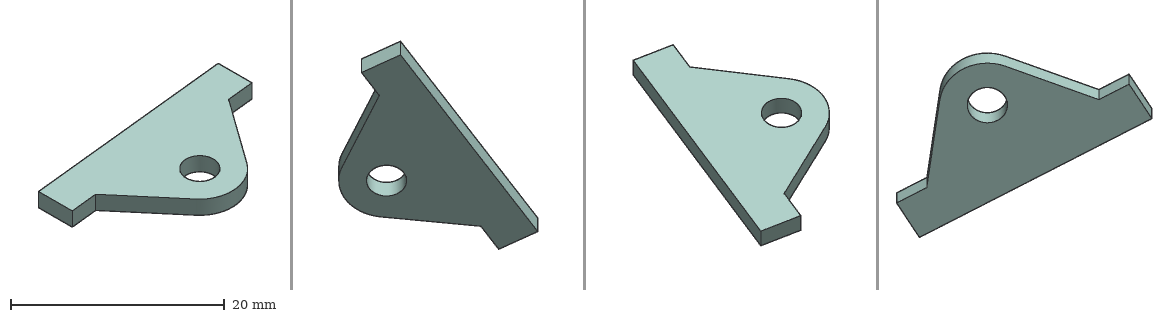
import cadquery as cq
import math

length = 25.2
depth = 13.48
thickness = 2.0

strip_width = 4.25
lug_base_half_width = 9.32
nose_radius = 4.49
hole_diameter = 3.75

hole_x = depth - nose_radius

base_dx = strip_width - hole_x
base_distance = math.hypot(base_dx, lug_base_half_width)
base_angle = math.atan2(lug_base_half_width, base_dx)
tangent_angle = base_angle - math.acos(nose_radius / base_distance)
tangent_x = hole_x + nose_radius * math.cos(tangent_angle)
tangent_y = nose_radius * math.sin(tangent_angle)


def make_strip():
    return cq.Workplane("XY").box(strip_width, length, thickness, centered=(False, True, False))


def make_lug():
    return (
        cq.Workplane("XY")
        .moveTo(0, -lug_base_half_width)
        .lineTo(strip_width, -lug_base_half_width)
        .lineTo(tangent_x, -tangent_y)
        .threePointArc((depth, 0), (tangent_x, tangent_y))
        .lineTo(strip_width, lug_base_half_width)
        .lineTo(0, lug_base_half_width)
        .close()
        .extrude(thickness)
    )


def make_hole():
    return cq.Workplane("XY").center(hole_x, 0).circle(hole_diameter / 2).extrude(thickness)


result = make_strip().union(make_lug()).cut(make_hole()).clean()